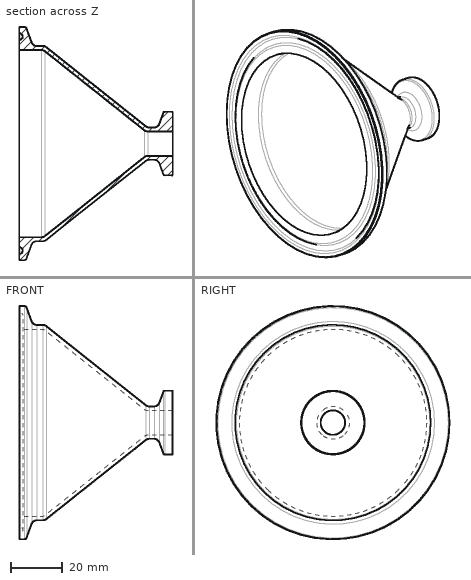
import cadquery as cq
import math

length = 60.0
wall = 1.6
bend_radius = 2.1
neck_fillet = 2.1
flange_slope = math.radians(20)

large_flange_radius = 45.5
large_tube_radius = 38.1
large_rim_width = 2.7
large_rim_round = 0.9
large_face_chamfer = 0.3

small_flange_radius = 12.5
small_tube_radius = 6.4
small_rim_width = 3.6
small_rim_round = 0.6
small_face_chamfer = 0.3

cone_start = 10.0
cone_end = 50.0

groove_outer_radius = 43.8
groove_inner_radius = 39.8
groove_lip_width = 0.9
groove_flank = math.radians(70)


def rounded_outline(corners):
    """Close an XY outline of (x, radius, rounding) corners, with an arc at each rounded corner."""
    outline = None
    count = len(corners)
    for index, (x, y, rounding) in enumerate(corners):
        corner = cq.Vector(x, y)
        before = (cq.Vector(*corners[index - 1][:2]) - corner).normalized()
        after = (cq.Vector(*corners[(index + 1) % count][:2]) - corner).normalized()
        half_angle = before.getAngle(after) / 2
        setback = rounding / math.tan(half_angle)
        entry = corner + before * setback
        if outline is None:
            outline = cq.Workplane("XY").moveTo(entry.x, entry.y)
        else:
            outline = outline.lineTo(entry.x, entry.y)
        if rounding:
            leave = corner + after * setback
            bisector = (before + after).normalized()
            middle = corner + bisector * (rounding / math.sin(half_angle) - rounding)
            outline = outline.threePointArc((middle.x, middle.y), (leave.x, leave.y))
    return outline.close()


def revolve_about_x(outline):
    return outline.revolve(360, (0, 0, 0), (1, 0, 0))


def make_body():
    large_rise = large_flange_radius - large_tube_radius
    small_rise = small_flange_radius - small_tube_radius
    large_neck = large_rim_width + large_rise * math.tan(flange_slope)
    small_neck = length - small_rim_width - small_rise * math.tan(flange_slope)
    large_bore = large_tube_radius - wall
    small_bore = small_tube_radius - wall

    cone_angle = math.atan2(large_tube_radius - small_tube_radius, cone_end - cone_start)
    inside_shift = wall * math.tan(cone_angle / 2)

    return revolve_about_x(rounded_outline([
        (0, large_bore, 0),
        (0, large_flange_radius - large_face_chamfer, 0),
        (large_face_chamfer, large_flange_radius, 0),
        (large_rim_width, large_flange_radius, large_rim_round),
        (large_neck, large_tube_radius, neck_fillet),
        (cone_start, large_tube_radius, bend_radius),
        (cone_end, small_tube_radius, bend_radius),
        (small_neck, small_tube_radius, neck_fillet),
        (length - small_rim_width, small_flange_radius, small_rim_round),
        (length - small_face_chamfer, small_flange_radius, 0),
        (length, small_flange_radius - small_face_chamfer, 0),
        (length, small_bore, 0),
        (cone_end - inside_shift, small_bore, bend_radius),
        (cone_start - inside_shift, large_bore, bend_radius),
    ]))


def make_groove():
    """Ring with a round hollow that blends smoothly into a convex lip on each side."""
    middle = (groove_outer_radius + groove_inner_radius) / 2
    half_hollow = (groove_outer_radius - groove_inner_radius) / 2 - groove_lip_width
    lip_round = groove_lip_width / math.sin(groove_flank)
    hollow_round = half_hollow / math.sin(groove_flank)
    lip_depth = lip_round * (1 - math.cos(groove_flank))
    groove_depth = lip_depth + hollow_round * (1 - math.cos(groove_flank))

    lip_middle_depth = lip_round * (1 - math.cos(groove_flank / 2))
    lip_middle_width = lip_round * math.sin(groove_flank / 2)

    outline = (
        cq.Workplane("XY")
        .moveTo(0, groove_outer_radius)
        .threePointArc(
            (lip_middle_depth, groove_outer_radius - lip_middle_width),
            (lip_depth, middle + half_hollow),
        )
        .threePointArc((groove_depth, middle), (lip_depth, middle - half_hollow))
        .threePointArc(
            (lip_middle_depth, groove_inner_radius + lip_middle_width),
            (0, groove_inner_radius),
        )
        .close()
    )
    return revolve_about_x(outline)


result = make_body().cut(make_groove())